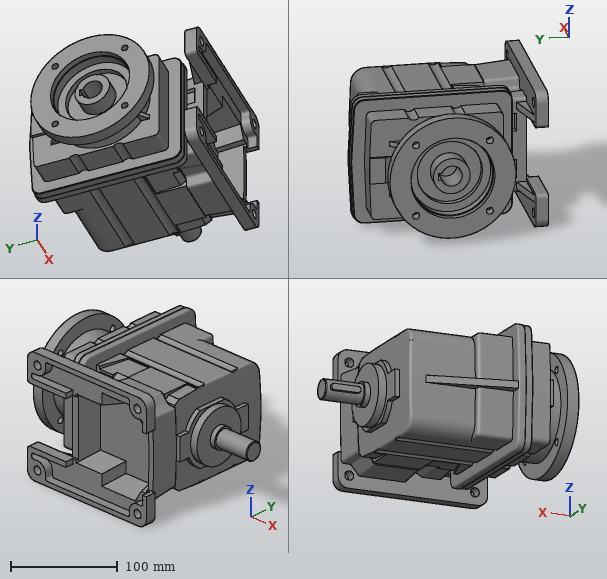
import cadquery as cq

flange_dia, flange_thick = 120.0, 11.8
neck_dia, neck_end = 90.0, 21.6
cone_end_dia = 93.0
pilot_dia, pilot_depth = 80.0, 6.0
seat_dia, seat_depth = 78.0, 15.5
well_dia, well_depth = 62.0, 21.6
hub_dia, hub_face = 35.0, 5.6
bore_dia, bore_depth = 20.0, 33.0
keyway_width, keyway_top = 6.8, 12.7
flange_hole_dia, flange_hole_offset = 6.5, 35.2

cover_start, rim_start, rim_split, rim_end = 35.2, 59.2, 66.5, 73.8
cover_bottom, cover_shoulder, cover_peak = -55.2, 71.2, 73.0
cover_half_z, cover_radius = 49.5, 4.7
pad_proud, pad_half_z, pad_low, pad_high = 2.8, 12.7, 58.0, 72.8
web_inner_z, web_thick = 22.8, 4.7
upper_web = [(23.0, 37.5), (cover_start, 53.8), (cover_start, 37.5)]
lower_web = [(23.0, -35.7), (cover_start, -46.0), (cover_start, -35.7)]

rim_bottom, rim_shoulder, rim_peak = -68.6, 83.2, 86.5
rim_half_z, rim_radius = 62.3, 10.0
rim_inset = 0.5
rim_front_chamfer, rim_back_fillet = 0.7, 1.9

housing_end, housing_bottom, housing_shoulder, housing_peak = 174.8, -51.2, 64.0, 65.5
housing_half_z, housing_round, housing_end_fillet = 51.0, 15.0, 2.5
end_bow = 2.0
raised_end, raised_radius, raised_end_fillet = 109.5, 3.8, 3.5
fin_thick, fin_high, fin_end = 7.0, 84.4, 160.7
groove_width, groove_depth = 9.6, 2.4
groove_centres = [30.5, -14.0]
groove_end = 174.0

ramp_start_y, ramp_break_y, ramp_start_depth, ramp_depth = -20.5, -45.4, 1.2, 2.8
ramp_left_top, ramp_left_bottom, ramp_right = 85.5, 77.5, 113.0
step_left, step_depth = 94.7, 7.0
rear_ramp_left = 161.7

output_y = -6.5
end_plate_face, end_plate_overlap = 181.7, 2.4
end_disc_radius, end_disc_flat = 34.8, 30.5
lug_high, lug_half_z = 41.5, 13.5
spigot_dia, spigot_end = 60.0, 189.9
collar_dia, collar_end = 24.0, 195.5
shaft_dia, shaft_end, shaft_chamfer = 20.0, 235.0, 1.0
key_start, key_end, key_width, key_top, key_radius = 200.2, 230.5, 6.0, 6.5, 2.8

foot_bottom, foot_top = -96.5, -84.5
pedestal_flare, pedestal_fillet = 2.4, 3.0
pedestal_left, pedestal_right = 76.5, 176.0
pedestal_neck_z, pedestal_front_z, pedestal_wide_z = 41.8, 45.1, 52.2
wall_bow = 1.2
cavity_floor, cavity_taper = -60.2, 5.6
cavity_left, cavity_right = 81.8, 173.0
cavity_narrow_z, cavity_wide_z = 36.2, 49.0
window_overlap = 2.4
window_inner_z, window_outer_z = 14.0, 32.2
window_low, window_high, window_depth, window_draft = -75.5, -54.0, 4.7, 16.0

foot_left, foot_right = 27.3, 181.7
foot_inner_z, foot_half_z = 33.1, 67.7
foot_outer_radius, foot_inner_radius = 10.0, 4.0
foot_hole_dia, foot_hole_z = 9.0, 55.2
foot_hole_x = [40.5, 170.1]
boss_radius = 10.3
recess_depth, recess_lip = 9.5, 5.5
recess_left, recess_right, recess_open_x = 32.7, 177.0, 77.3
recess_ledge_z, recess_arm_z = 39.0, 45.1
recess_corner = 2.8
foot_web_tip, foot_web_end, foot_web_high = 37.0, 76.1, -74.7
foot_web_inner_z, foot_web_outer_z = 36.5, 43.5


def block(x0, x1, y0, y1, z0, z1):
    return cq.Workplane("XY").box(x1 - x0, y1 - y0, z1 - z0, centered=False).translate((x0, y0, z0))


def rod(dia, x0, x1, y=0.0, z=0.0):
    return cq.Workplane("YZ", origin=(x0, y, z)).circle(dia / 2).extrude(x1 - x0)


def upright(dia, x, z, y0, y1):
    """Cylinder along Y."""
    return cq.Workplane("XZ", origin=(x, y1, z)).circle(dia / 2).extrude(y1 - y0)


def slab_z(points, z0, z1):
    """Outline in X and Y, extruded along Z."""
    return cq.Workplane("XY", origin=(0, 0, z0)).polyline(points).close().extrude(z1 - z0)


def both_sides(body):
    return body.union(body.mirror("XY"))


def crowned_block(x0, x1, bottom, shoulder, peak, half_z, radius, round_bottom=True):
    """Rounded block along X whose +Y side rises to a shallow ridge at Z = 0."""
    outline = [(bottom, -half_z), (shoulder, -half_z), (peak, 0), (shoulder, half_z), (bottom, half_z)]
    body = cq.Workplane("YZ", origin=(x0, 0, 0)).polyline(outline).close().extrude(x1 - x0)
    corner_y = [shoulder, bottom] if round_bottom else [shoulder]
    margin = 0.2
    for y in corner_y:
        for z in (-half_z, half_z):
            corner = cq.selectors.BoxSelector(
                (x0, y - margin, z - margin), (x1, y + margin, z + margin)
            )
            body = body.edges("|X").edges(corner).fillet(radius)
    return body


def bowed_wire(corners, y, growth):
    """Z-symmetric outline at height y, with the right end bowed to +X.

    Each corner of the +Z half is (x, z, side); growth moves it out in Z and by side * growth in X.
    """
    upper = [(x + side * growth, z + growth) for x, z, side in corners]
    lower = [(x, -z) for x, z in reversed(upper)]
    right_x = upper[-1][0]
    plane = cq.Plane(origin=(0, y, 0), xDir=(1, 0, 0), normal=(0, -1, 0))
    sketch = cq.Workplane(plane).polyline(upper).threePointArc((right_x + wall_bow, 0), lower[0])
    for point in lower[1:]:
        sketch = sketch.lineTo(*point)
    return sketch.close().val()


def drafted_block(corners, y0, y1, growth):
    """Solid between the outline at y0 and the same outline grown at y1."""
    wires = [bowed_wire(corners, y0, 0), bowed_wire(corners, y1, growth)]
    return cq.Workplane(cq.Solid.makeLoft(wires, True))


def make_motor_flange():
    body = rod(flange_dia, 0, flange_thick).union(rod(neck_dia, 0, neck_end))
    cone = cq.Workplane("YZ", origin=(neck_end, 0, 0)).circle(neck_dia / 2)
    cone = cone.workplane(offset=cover_start - neck_end).circle(cone_end_dia / 2).loft()
    return body.union(cone)


def cut_motor_bore(body):
    for dia, depth in [(pilot_dia, pilot_depth), (seat_dia, seat_depth), (well_dia, well_depth)]:
        body = body.cut(rod(dia, 0, depth))
    body = body.union(rod(hub_dia, hub_face, well_depth))
    body = body.cut(rod(bore_dia, 0, bore_depth))
    body = body.cut(block(0, bore_depth, 0, keyway_top, -keyway_width / 2, keyway_width / 2))
    for y in (-flange_hole_offset, flange_hole_offset):
        for z in (-flange_hole_offset, flange_hole_offset):
            body = body.cut(rod(flange_hole_dia, 0, flange_thick, y, z))
    return body


def make_cover():
    body = crowned_block(
        cover_start, rim_start, cover_bottom, cover_shoulder, cover_peak, cover_half_z, cover_radius
    )
    pad_front = cover_start - pad_proud
    pad_outline = [
        (pad_front, pad_high),
        (cover_start, pad_high),
        (cover_start, pad_low - 2 * pad_proud),
        (pad_front, pad_low),
    ]
    body = body.union(slab_z(pad_outline, -pad_half_z, pad_half_z))
    for outline in (upper_web, lower_web):
        body = body.union(both_sides(slab_z(outline, web_inner_z, web_inner_z + web_thick)))
    return body


def make_rim():
    front = crowned_block(
        rim_start, rim_split, rim_bottom + rim_inset, rim_shoulder - rim_inset, rim_peak - rim_inset,
        rim_half_z - rim_inset, rim_radius,
    )
    front = front.faces("<X").chamfer(rim_front_chamfer)
    back = crowned_block(
        rim_split, rim_end, rim_bottom, rim_shoulder, rim_peak, rim_half_z, rim_radius
    )
    return front.union(back.faces(">X").edges().fillet(rim_back_fillet))


def make_housing():
    body = crowned_block(
        rim_end, housing_end + end_bow, housing_bottom, housing_shoulder, housing_peak,
        housing_half_z, housing_round, round_bottom=False,
    )
    plan = cq.Workplane("XZ", origin=(0, housing_peak, 0)).moveTo(rim_end, -housing_half_z)
    plan = plan.lineTo(housing_end, -housing_half_z)
    plan = plan.threePointArc((housing_end + end_bow, 0), (housing_end, housing_half_z))
    plan = plan.lineTo(rim_end, housing_half_z).close()
    body = body.intersect(plan.extrude(housing_peak - housing_bottom))
    body = body.faces(">X").edges("not <Y").fillet(housing_end_fillet)
    raised = crowned_block(
        rim_end, raised_end, 0, cover_shoulder, cover_peak, housing_half_z, raised_radius,
        round_bottom=False,
    )
    body = body.union(raised.faces(">X").edges("not <Y").fillet(raised_end_fillet))
    fin = [(rim_end, 0), (rim_end, fin_high), (fin_end, housing_peak), (fin_end, 0)]
    return body.union(slab_z(fin, -fin_thick / 2, fin_thick / 2))


def cut_grooves(body):
    """Shallow round grooves along both flanks of the cover and the housing."""
    radius = (groove_width**2 / 4 + groove_depth**2) / (2 * groove_depth)
    spans = [(cover_start, rim_start, cover_half_z), (rim_end, groove_end, housing_half_z)]
    for x0, x1, half_z in spans:
        axis_z = half_z - groove_depth + radius
        for y in groove_centres:
            body = body.cut(both_sides(rod(2 * radius, x0, x1, y, axis_z)))
    return body


def ramp_cutter(x0, x1, break_depth, end_depth):
    """Wedge that sinks toward the foot, gently to the break and then steeply."""
    surface = housing_half_z
    outline = [
        (ramp_start_y, surface - ramp_start_depth),
        (ramp_break_y, surface - break_depth),
        (housing_bottom, surface - end_depth),
        (housing_bottom, rim_half_z),
        (ramp_start_y, rim_half_z),
    ]
    return cq.Workplane("YZ", origin=(x0, 0, 0)).polyline(outline).close().extrude(x1 - x0)


def cut_ramps(body):
    label_area = slab_z(
        [
            (ramp_left_top, ramp_start_y),
            (ramp_right, ramp_start_y),
            (ramp_right, housing_bottom),
            (ramp_left_bottom, housing_bottom),
        ],
        0, rim_half_z,
    )
    slope = (ramp_depth - ramp_start_depth) / (ramp_start_y - ramp_break_y)
    label_depth = ramp_start_depth + slope * (ramp_start_y - housing_bottom)
    ramp = ramp_cutter(ramp_left_bottom, ramp_right, ramp_depth, label_depth).intersect(label_area)
    step = ramp_cutter(step_left, ramp_right, ramp_depth, step_depth)
    rear = ramp_cutter(rear_ramp_left, housing_end + end_bow, ramp_depth, step_depth)
    for cutter in (ramp, step, rear):
        body = body.cut(both_sides(cutter))
    return body


def make_output():
    end_plate_start = housing_end - end_plate_overlap
    disc = rod(2 * end_disc_radius, end_plate_start, end_plate_face, output_y)
    disc = disc.intersect(
        block(0, end_plate_face, housing_bottom, lug_high, -end_disc_flat, end_disc_flat)
    )
    lugs = block(end_plate_start, end_plate_face, housing_bottom, lug_high, -lug_half_z, lug_half_z)
    shaft = rod(shaft_dia, end_plate_face, shaft_end, output_y).faces(">X").chamfer(shaft_chamfer)
    key = block(key_start, key_end, output_y, key_top, -key_width / 2, key_width / 2)
    key = key.edges("|Y").fillet(key_radius)
    body = disc.union(lugs).union(shaft).union(key)
    body = body.union(rod(spigot_dia, end_plate_face, spigot_end, output_y))
    return body.union(rod(collar_dia, spigot_end, collar_end, output_y))


def make_pedestal():
    corners = [
        (pedestal_left, pedestal_front_z, -1),
        (92.5, pedestal_front_z, 1),
        (98.2, pedestal_neck_z, 1),
        (111.9, pedestal_neck_z, -1),
        (113.7, pedestal_wide_z, -1),
        (158.5, pedestal_wide_z, 0.6),
        (167.3, pedestal_neck_z, 0.6),
        (pedestal_right, pedestal_neck_z, 1),
    ]
    body = drafted_block(corners, housing_bottom, foot_top, pedestal_flare)
    body = body.edges("not (#Y or >Y or <Y)").fillet(pedestal_fillet)
    window = cq.Workplane("YZ", origin=(pedestal_left - window_overlap, 0, 0)).center(
        (window_low + window_high) / 2, (window_inner_z + window_outer_z) / 2
    )
    window = window.rect(window_high - window_low, window_outer_z - window_inner_z)
    return body.cut(both_sides(window.extrude(window_depth, taper=window_draft)))


def make_foot_rail():
    rail = block(foot_left, foot_right, foot_bottom, foot_top, foot_inner_z, foot_half_z)
    rail = rail.edges("|Y and >Z").fillet(foot_outer_radius)
    rail = rail.edges("|Y and <Z and <X").fillet(foot_inner_radius)
    web = [(foot_web_tip, foot_top), (foot_web_end, foot_web_high), (foot_web_end, foot_top)]
    return rail.union(slab_z(web, foot_web_inner_z, foot_web_outer_z))


def make_rail_recess():
    """Hollow in the underside of one rail, leaving round bosses at the bolt holes."""
    y0, y1 = foot_bottom, foot_bottom + recess_depth
    slot_radius = (recess_arm_z - recess_ledge_z) / 2
    slot_z = recess_ledge_z + slot_radius
    hollow = block(
        foot_hole_x[0] + boss_radius, foot_hole_x[1] - boss_radius,
        y0, y1, recess_ledge_z, foot_half_z - recess_lip,
    ).edges("|Y and >Z").fillet(recess_corner)
    hollow = hollow.union(
        block(recess_left + slot_radius, recess_right, y0, y1, recess_ledge_z, recess_arm_z)
        .edges("|Y and >Z and >X").fillet(recess_corner)
    )
    hollow = hollow.union(upright(2 * slot_radius, recess_left + slot_radius, slot_z, y0, y1))
    hollow = hollow.union(block(recess_open_x, recess_right, y0, y1, foot_inner_z, recess_ledge_z))
    for x, side in zip(foot_hole_x, (1, -1)):
        near = min(x, x + side * 2 * boss_radius)
        clearance = block(near, near + 2 * boss_radius, y0, y1, recess_ledge_z, foot_hole_z)
        hollow = hollow.union(clearance)
    for x in foot_hole_x:
        hollow = hollow.cut(upright(2 * boss_radius, x, foot_hole_z, y0, y1))
    return hollow


def cut_foot(body):
    body = body.cut(both_sides(make_rail_recess()))
    corners = [
        (cavity_left, cavity_narrow_z, -1),
        (115.0, cavity_narrow_z, -1),
        (115.0, cavity_wide_z, -1),
        (158.5, cavity_wide_z, 0.6),
        (166.4, cavity_narrow_z, 0.7),
        (cavity_right, cavity_narrow_z, 0.8),
    ]
    cavity_mouth = foot_bottom + recess_depth
    body = body.cut(drafted_block(corners, cavity_mouth, cavity_floor, -cavity_taper))
    for x in foot_hole_x:
        for z in (-foot_hole_z, foot_hole_z):
            body = body.cut(upright(foot_hole_dia, x, z, foot_bottom, foot_top))
    return body


unit = make_motor_flange().union(make_cover()).union(make_rim()).union(make_housing())
unit = cut_motor_bore(unit)
unit = cut_grooves(unit)
unit = cut_ramps(unit)
unit = unit.union(make_output()).union(make_pedestal()).union(both_sides(make_foot_rail()))
result = cut_foot(unit)